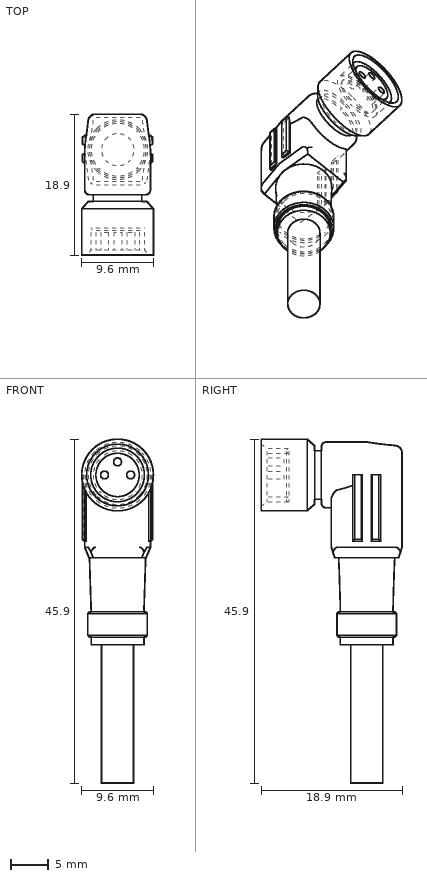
import cadquery as cq
import math


mating_face_y = -14.1
nut_diameter = 9.6
nut_length = 7.15
nut_back_chamfer_length = 1.0
nut_back_chamfer_depth = 0.85
neck_radius = 3.25

socket_mouth_radius = 4.15
socket_radius = 3.6
core_radius = 2.9
core_recess = 0.75
seal_depth = 3.65
contact_radius = 0.53
contact_depth = 2.3
contact_circle_radius = 1.75
contact_angles = (0, 90, 180)

housing_radius = 4.4
housing_back_y = 4.75
housing_front_y = -6.05
housing_front_fillet = 0.7
side_taper = math.radians(7)
corner_radius = 1.0
block_bottom_z = -11.05
bevel_height = 1.4
bevel_inset_x = 0.6
bevel_inset_y = 0.45

rib_width = 1.3
rib_spacing = 2.5
rib_height = 8.85
rib_outer_x = 4.7
rib_chamfer = 0.28
rib_inner_chamfer = 0.15

relief_top_radius = 3.75
relief_end_radius = 3.55
ring_radius = 4.0
ring_top_z = -18.25
ring_bottom_z = -21.6
ring_chamfer = 0.25
relief_end_z = -22.67
cable_radius = 2.15
total_height = 45.9

nut_radius = nut_diameter / 2
nut_back_y = mating_face_y + nut_length
cable_end_z = nut_radius - total_height
bevel_top_z = block_bottom_z + bevel_height
housing_end_x = housing_radius - housing_back_y * math.tan(side_taper)


def revolve_about_y(profile):
    """Revolve a closed (radius, y) profile about the Y axis."""
    return profile.revolve(360, (0, 0, 0), (0, 1, 0))


def block_outline(z, inset_x=0, inset_y=0):
    """Six-sided plan outline, widest at y = 0 and tapering to both ends."""
    mid_x = housing_radius - inset_x
    end_x = housing_end_x - inset_x
    end_y = housing_back_y - inset_y
    points = [
        (mid_x, 0),
        (end_x, end_y),
        (-end_x, end_y),
        (-mid_x, 0),
        (-end_x, -end_y),
        (end_x, -end_y),
    ]
    return cq.Workplane("XY").workplane(offset=z).polyline(points).close()


def make_barrel():
    """Horizontal round part of the housing with its tapered, rounded back."""
    front = (
        cq.Workplane("XZ")
        .circle(housing_radius)
        .extrude(-housing_front_y)
        .faces("<Y")
        .edges()
        .fillet(housing_front_fillet)
    )
    back_profile = (
        cq.Workplane("XY")
        .polyline([(0, 0), (housing_radius, 0), (housing_end_x, housing_back_y), (0, housing_back_y)])
        .close()
    )
    back = revolve_about_y(back_profile).faces(">Y").edges().fillet(corner_radius)
    upper_half = cq.Workplane("XY").box(
        2 * nut_radius, 2 * housing_back_y, nut_radius, centered=(True, True, False)
    )
    return front.union(back.intersect(upper_half))


def make_block():
    """Vertical part of the housing: rounded corners and a bevelled lower end."""
    rounded = (
        block_outline(block_bottom_z)
        .extrude(-block_bottom_z)
        .edges("|Z and (>Y or <Y)")
        .fillet(corner_radius)
    )
    upper_wire = block_outline(bevel_top_z).wire().val()
    lower_wire = block_outline(block_bottom_z, bevel_inset_x, bevel_inset_y).wire().val()
    bevel = cq.Workplane(obj=cq.Solid.makeLoft([lower_wire, upper_wire], True))
    envelope = block_outline(bevel_top_z).extrude(-bevel_top_z).union(bevel)
    return rounded.intersect(envelope)


def make_ribs():
    """Four grip ribs as two bars through the housing, mirrored about the cable axis."""
    bar = (
        cq.Workplane("XY")
        .box(2 * rib_outer_x, rib_width, rib_height)
        .translate((0, -rib_spacing / 2, -rib_height / 2))
    )
    for side in ("<X", ">X"):
        bar = bar.faces(side).edges("<Y or <Z").chamfer(rib_chamfer)
        bar = bar.faces(side).edges(">Y").chamfer(rib_inner_chamfer)
    return bar.union(bar.mirror("XZ"))


def make_strain_relief():
    """Tapered sleeve, clamping ring, end collar and cable, turned about Z."""
    ring_edge_radius = ring_radius - ring_chamfer
    return (
        cq.Workplane("XZ")
        .moveTo(0, block_bottom_z)
        .lineTo(relief_top_radius, block_bottom_z)
        .lineTo(relief_end_radius, ring_top_z)
        .lineTo(ring_edge_radius, ring_top_z)
        .lineTo(ring_radius, ring_top_z - ring_chamfer)
        .lineTo(ring_radius, ring_bottom_z + ring_chamfer)
        .lineTo(ring_edge_radius, ring_bottom_z)
        .lineTo(relief_end_radius, ring_bottom_z)
        .lineTo(relief_end_radius, relief_end_z)
        .lineTo(cable_radius, relief_end_z)
        .lineTo(cable_radius, cable_end_z)
        .lineTo(0, cable_end_z)
        .close()
        .revolve(360, (0, 0, 0), (0, 1, 0))
    )


def make_nut():
    """Neck and coupling nut with a conical mouth, recessed core and rounded seal."""
    core_y = mating_face_y + core_recess
    seal_y = mating_face_y + seal_depth
    seal_radius = (socket_radius - core_radius) / 2
    seal_middle = (socket_radius + core_radius) / 2
    profile = (
        cq.Workplane("XY")
        .moveTo(0, core_y)
        .lineTo(core_radius, core_y)
        .lineTo(core_radius, seal_y)
        .threePointArc((seal_middle, seal_y - seal_radius), (socket_radius, seal_y))
        .lineTo(socket_radius, core_y)
        .lineTo(socket_mouth_radius, mating_face_y)
        .lineTo(nut_radius, mating_face_y)
        .lineTo(nut_radius, nut_back_y - nut_back_chamfer_length)
        .lineTo(nut_radius - nut_back_chamfer_depth, nut_back_y)
        .lineTo(neck_radius, nut_back_y)
        .lineTo(neck_radius, housing_front_y)
        .lineTo(0, housing_front_y)
        .close()
    )
    return revolve_about_y(profile)


def make_contact_holes():
    """Three blind contact holes in the face of the core."""
    holes = cq.Workplane("XZ", origin=(0, mating_face_y + core_recess, 0))
    for angle in contact_angles:
        x = contact_circle_radius * math.cos(math.radians(angle))
        z = contact_circle_radius * math.sin(math.radians(angle))
        holes = holes.moveTo(x, z).circle(contact_radius)
    return holes.extrude(-contact_depth)


housing = make_barrel().union(make_block()).union(make_ribs())
connector = housing.union(make_strain_relief()).union(make_nut())
result = connector.cut(make_contact_holes())